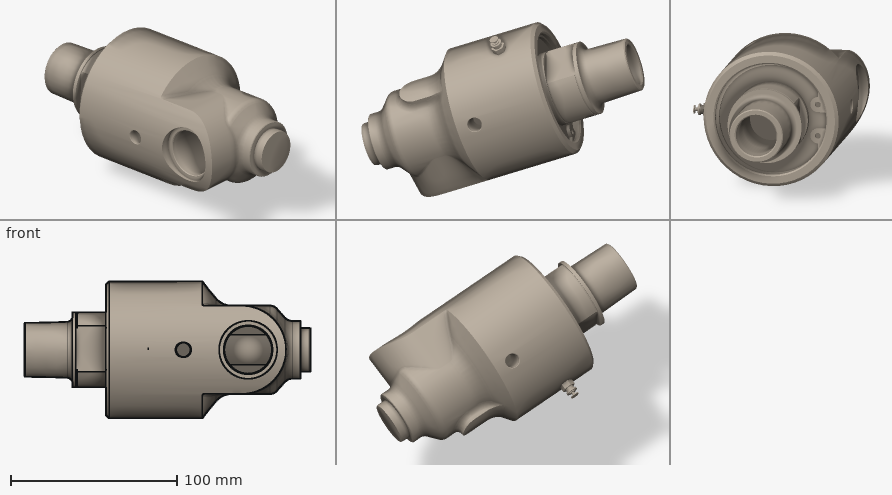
import cadquery as cq
import math


spigot_tip_d = 32.7
spigot_root_d = 33.9
spigot_root_x = 25.8
spigot_chamfer = 0.6
root_fillet = 3.1
flange_d = 45.3
flange_end_x = 31.1
groove_d = 44.0
groove_w = 0.9
flat_width = 36.0
flat_turn = -2.0
bore_d = 25.0
bore_chamfer = 0.65

body_d = 82.6
body_r = body_d / 2
body_x = 49.1
body_end_x = 107.1
body_chamfer = 1.9
recess_d = 68.1
recess_depth = 5.0
recess_chamfer = 0.85
recess_floor_x = body_x + recess_depth

ring_t = 2.0
ring_inner_r = 33.1
ring_inner_y = -1.2
ear_y = -28.4
ear_z = 9.6
ear_r = 4.6
ear_hole_d = 3.5
ear_neck_z = 18.7

neck_r = 26.7
shoulder_slope = 51.5
shoulder_fillet = 12.1
neck_round = 5.5
neck_end_x = 147.8
tail_slope = 48.0
tail_fillet = 6.0
collar_d = 34.9
collar_end_x = 166.5
collar_chamfer = 0.4
tip_d = 26.6
tip_chamfer_length = 1.2
tip_chamfer_depth = 0.3
total_length = 172.34

boss_r = 26.5
boss_x = 131.0
boss_fillet = 2.0
port_x = 134.7
port_d = 28.57
port_chamfer = 0.45
counterbore_d = 34.9
counterbore_y = -35.5
crown_r = 20.0
crown_chord = 18.2
pad_r = 9.2
pad_fillet = 4.0
pad_top_r = 31.5
pad_rise = 45.0
pad_rise_r = 14.0
pad_setback = 0.5

seam_turn = -90.0

tolerance = 0.01

drain_x = 95.7
drain_d = 8.6
drain_mouth_d = 9.5
drain_depth = 18.0
drain_angles = (0, 120, 240)

nipple_x = 70.9
hex_d = 8.6
hex_turn = 15.0
hex_top_y = 44.6
nipple_sink = 1.0
nipple_neck_d = 5.36
bead_d = 7.0
bead_y = 46.6
bead_top_y = 47.7
head_d = 4.5
head_top_y = 48.2
nipple_pin_d = 2.0
cap_d = 5.36
cap_t = 0.6
total_width = 92.01
nipple_top_y = total_width - body_r


def y_plane(y):
    """Sketch plane across Y, facing +Y."""
    return cq.Workplane(cq.Plane(origin=(0, y, 0), xDir=(1, 0, 0), normal=(0, 1, 0)))


def x_cylinder(diameter, start_x, end_x):
    """Cylinder on the main axis."""
    return cq.Workplane("YZ").workplane(offset=start_x).circle(diameter / 2).extrude(end_x - start_x)


def y_cylinder(diameter, x, start_y, end_y):
    """Cylinder along Y, centred on Z = 0 at the given X."""
    return y_plane(start_y).center(x, 0).circle(diameter / 2).extrude(end_y - start_y)


def y_cone(start_d, end_d, x, start_y, end_y):
    """Cone frustum along Y, centred on Z = 0 at the given X."""
    cone = cq.Solid.makeCone(
        start_d / 2, end_d / 2, end_y - start_y, cq.Vector(x, start_y, 0), cq.Vector(0, 1, 0)
    )
    return cq.Workplane(cone)


def make_shaft():
    """Tapered spigot, flange and shaft with two flats and relief grooves."""
    tip_r = spigot_tip_d / 2
    root_r = spigot_root_d / 2
    flange_r = flange_d / 2
    fillet_mid = root_fillet * (1 - math.sqrt(0.5))
    fillet_end_x = spigot_root_x + root_fillet
    shaft = (
        cq.Workplane("XY")
        .moveTo(0, 0)
        .lineTo(0, tip_r - spigot_chamfer)
        .lineTo(spigot_chamfer, tip_r)
        .lineTo(spigot_root_x, root_r)
        .threePointArc(
            (fillet_end_x - fillet_mid, root_r + fillet_mid),
            (fillet_end_x, root_r + root_fillet),
        )
        .lineTo(fillet_end_x, flange_r)
        .lineTo(recess_floor_x, flange_r)
        .lineTo(recess_floor_x, 0)
        .close()
        .revolve(360, (0, 0, 0), (1, 0, 0))
    )
    flat_end_x = body_x + groove_w
    for start_x in (flange_end_x, body_x):
        groove = x_cylinder(2 * flange_d, start_x, start_x + groove_w)
        groove = groove.cut(x_cylinder(groove_d, start_x, start_x + groove_w))
        shaft = shaft.cut(groove)
    flat_length = flat_end_x - flange_end_x
    slab_t = flange_d - flat_width
    for side in (-1, 1):
        slab = cq.Workplane("XY").box(flat_length, slab_t, flange_d)
        slab_y = side * (flat_width + slab_t) / 2
        slab = slab.translate((flange_end_x + flat_length / 2, slab_y, 0))
        shaft = shaft.cut(slab.rotate((0, 0, 0), (1, 0, 0), flat_turn))
    return shaft


def shoulder_x_at(radius):
    """X at which the sloping shoulder has the given radius."""
    return body_end_x + (body_r - radius) / math.tan(math.radians(shoulder_slope))


def make_housing():
    """Body drum and stepped tail as one revolved shape, with its seam clear of both blocks."""
    shoulder = math.radians(shoulder_slope)
    shoulder_arc_r = neck_r + shoulder_fillet * (1 - math.cos(shoulder))
    shoulder_arc_x = shoulder_x_at(shoulder_arc_r)
    neck_x = shoulder_arc_x + shoulder_fillet * math.sin(shoulder)
    half = shoulder / 2
    shoulder_mid = (
        neck_x - shoulder_fillet * math.sin(half),
        neck_r + shoulder_fillet * (1 - math.cos(half)),
    )

    tail = math.radians(tail_slope)
    cone_x = neck_end_x + neck_round * math.sin(tail)
    cone_r = neck_r - neck_round * (1 - math.cos(tail))
    collar_r = collar_d / 2
    cone_end_r = collar_r + tail_fillet * (1 - math.cos(tail))
    cone_end_x = cone_x + (cone_r - cone_end_r) / math.tan(tail)
    collar_x = cone_end_x + tail_fillet * math.sin(tail)
    half = tail / 2
    round_mid = (
        neck_end_x + neck_round * math.sin(half),
        neck_r - neck_round * (1 - math.cos(half)),
    )
    fillet_mid = (
        collar_x - tail_fillet * math.sin(half),
        collar_r + tail_fillet * (1 - math.cos(half)),
    )

    tip_r = tip_d / 2
    return (
        cq.Workplane("XY")
        .moveTo(body_x, 0)
        .lineTo(body_x, body_r - body_chamfer)
        .lineTo(body_x + body_chamfer, body_r)
        .lineTo(body_end_x, body_r)
        .lineTo(shoulder_arc_x, shoulder_arc_r)
        .threePointArc(shoulder_mid, (neck_x, neck_r))
        .lineTo(neck_end_x, neck_r)
        .threePointArc(round_mid, (cone_x, cone_r))
        .lineTo(cone_end_x, cone_end_r)
        .threePointArc(fillet_mid, (collar_x, collar_r))
        .lineTo(collar_end_x - collar_chamfer, collar_r)
        .lineTo(collar_end_x, collar_r - collar_chamfer)
        .lineTo(collar_end_x, tip_r)
        .lineTo(total_length - tip_chamfer_length, tip_r)
        .lineTo(total_length, tip_r - tip_chamfer_depth)
        .lineTo(total_length, 0)
        .close()
        .revolve(360, (0, 0, 0), (1, 0, 0))
        .rotate((0, 0, 0), (1, 0, 0), seam_turn)
    )


def round_ended_block(end_r, start_x, start_y, end_y):
    """Block from start_x to a round end about boss_x, between two Y levels."""
    return (
        y_plane(start_y)
        .moveTo(start_x, -end_r)
        .lineTo(boss_x, -end_r)
        .threePointArc((boss_x + end_r, 0), (boss_x, end_r))
        .lineTo(start_x, end_r)
        .close()
        .extrude(end_y - start_y)
    )


def foot_edges(joined, end_r, towards_y):
    """Edges along which the wall of a round-ended block meets the tail of the housing."""
    edges = []
    for edge in joined.edges().vals():
        middle = edge.positionAt(0.5)
        end_x = max(middle.x - boss_x, 0)
        on_wall = abs(math.hypot(end_x, middle.z) - end_r) < tolerance
        inside_drum = math.hypot(middle.y, middle.z) < body_r - tolerance
        behind_drum = middle.x > body_end_x + tolerance
        tangent_line = abs(middle.x - boss_x) < tolerance
        right_side = middle.y * towards_y > 0
        if on_wall and inside_drum and behind_drum and right_side and not tangent_line:
            edges.append(edge)
    return edges


def add_pad(housing):
    """Add the round-ended pad towards +Y, whose top curves up to the shoulder."""
    rise = math.radians(pad_rise)
    rise_r = pad_top_r + pad_rise_r * (1 - math.cos(rise))
    rise_x = shoulder_x_at(rise_r)
    top_x = rise_x + pad_rise_r * math.sin(rise)
    rise_mid = (
        top_x - pad_rise_r * math.sin(rise / 2),
        pad_top_r + pad_rise_r * (1 - math.cos(rise / 2)),
    )
    above_top = (
        cq.Workplane("XY")
        .moveTo(rise_x, body_d)
        .lineTo(rise_x, rise_r)
        .threePointArc(rise_mid, (top_x, pad_top_r))
        .lineTo(total_length, pad_top_r)
        .lineTo(total_length, body_d)
        .close()
        .revolve(360, (0, 0, 0), (1, 0, 0))
        .rotate((0, 0, 0), (1, 0, 0), seam_turn)
    )
    padded = housing.union(round_ended_block(pad_r, rise_x + pad_setback, 0, body_r))
    padded = padded.newObject(foot_edges(padded, pad_r, 1)).fillet(pad_fillet)
    return padded.cut(above_top)


def add_port_boss(housing):
    """Add the round-ended boss towards -Y, trimmed to the drum diameter."""
    block = round_ended_block(boss_r, body_end_x - body_chamfer, -body_r, 0)
    block = block.intersect(x_cylinder(body_d, 0, total_length))
    bossed = housing.union(block)
    return bossed.newObject(foot_edges(bossed, boss_r, -1)).fillet(boss_fillet)


def cut_recess(body):
    """Chamfered recess in the front face."""
    body = body.cut(x_cylinder(recess_d, body_x, recess_floor_x))
    chamfer = cq.Solid.makeCone(
        recess_d / 2 + recess_chamfer,
        recess_d / 2,
        recess_chamfer,
        cq.Vector(body_x, 0, 0),
        cq.Vector(1, 0, 0),
    )
    return body.cut(cq.Workplane(chamfer))


def make_retaining_ring():
    """Eccentric open ring with two pierced ears."""
    start_x = recess_floor_x - ring_t
    recess_r = recess_d / 2
    plane = cq.Workplane("YZ").workplane(offset=start_x)
    ring = x_cylinder(recess_d, start_x, recess_floor_x)
    ring = ring.cut(plane.center(ring_inner_y, 0).circle(ring_inner_r).extrude(ring_t))
    gap = plane.center(-recess_r, 0).rect(recess_r, 2 * ear_z).extrude(ring_t)
    ring = ring.cut(gap)
    for side in (-1, 1):
        ear = plane.center(ear_y, side * ear_z).circle(ear_r).extrude(ring_t)
        inner_z = side * (ear_z - ear_r)
        neck = (
            plane.moveTo(ear_y, inner_z)
            .lineTo(-recess_r, inner_z)
            .lineTo(-recess_r, side * ear_neck_z)
            .lineTo(ear_y, side * ear_neck_z)
            .close()
            .extrude(ring_t)
        )
        ear = ear.union(neck).intersect(x_cylinder(recess_d, start_x, recess_floor_x))
        hole = plane.center(ear_y, side * ear_z).circle(ear_hole_d / 2).extrude(ring_t)
        ring = ring.union(ear).cut(hole)
    return ring


def cut_side_port(body):
    """Counterbored side port, with a shallow crown along X on its floor."""
    port = y_cylinder(port_d, port_x, counterbore_y, 0)
    crown_axis_y = math.sqrt(crown_r**2 - (crown_chord / 2) ** 2)
    crown = x_cylinder(2 * crown_r, port_x - port_d, port_x + port_d)
    port = port.cut(crown.translate((0, crown_axis_y, 0)))
    mouth = y_cone(
        port_d + 2 * port_chamfer, port_d, port_x, counterbore_y, counterbore_y + port_chamfer
    )
    counterbore = y_cylinder(counterbore_d, port_x, -body_r, counterbore_y)
    return body.cut(counterbore).cut(port).cut(mouth)


def cut_drains(body):
    """Radial blind holes with chamfered mouths, evenly spaced around the drum."""
    mouth_depth = (drain_mouth_d - drain_d) / 2
    hole = y_cylinder(drain_d, drain_x, -body_r, drain_depth - body_r)
    hole = hole.union(y_cone(drain_mouth_d, drain_d, drain_x, -body_r, mouth_depth - body_r))
    for angle in drain_angles:
        body = body.cut(hole.rotate((0, 0, 0), (1, 0, 0), angle))
    return body


def make_nipple():
    """Grease nipple: hexagon, neck, bead and a small cap on a pin."""
    hexagon = (
        y_plane(body_r - nipple_sink)
        .center(nipple_x, 0)
        .transformed(rotate=(0, 0, hex_turn))
        .polygon(6, hex_d)
        .extrude(hex_top_y - body_r + nipple_sink)
    )
    cap_y = nipple_top_y - cap_t
    return (
        hexagon.union(y_cylinder(nipple_neck_d, nipple_x, hex_top_y, bead_y))
        .union(y_cylinder(bead_d, nipple_x, bead_y, bead_top_y))
        .union(y_cylinder(head_d, nipple_x, bead_top_y, head_top_y))
        .union(y_cylinder(nipple_pin_d, nipple_x, head_top_y, cap_y))
        .union(y_cylinder(cap_d, nipple_x, cap_y, nipple_top_y))
    )


def cut_inlet_bore(body):
    """Blind inlet bore with a chamfered mouth."""
    mouth = cq.Solid.makeCone(
        bore_d / 2 + bore_chamfer, bore_d / 2, bore_chamfer, cq.Vector(0, 0, 0), cq.Vector(1, 0, 0)
    )
    return body.cut(x_cylinder(bore_d, 0, body_x)).cut(cq.Workplane(mouth))


housing = add_port_boss(add_pad(make_housing()))
housing = cut_recess(housing)
result = housing.union(make_retaining_ring()).union(make_shaft()).union(make_nipple())
result = cut_inlet_bore(cut_drains(cut_side_port(result)))